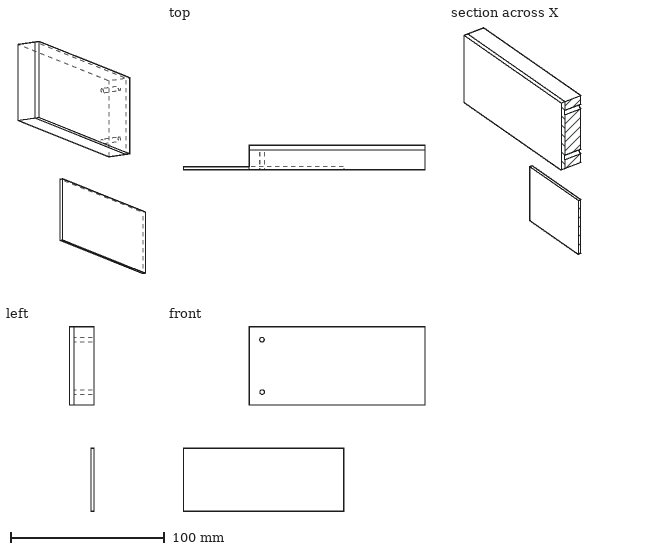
import cadquery as cq

total_width = 157.26
total_depth = 16.0
total_height = 120.05

case_width = 114.45
case_height = 51.05
cover_thickness = 3.0
housing_depth = total_depth - cover_thickness

hole_diameter = 3.0
upper_hole_inset_x = 8.35
lower_hole_inset_x = 8.45
hole_inset_z = 8.5

plate_width = 104.35
plate_height = 41.05
plate_thickness = 2.0

case_left = total_width - case_width
case_bottom = total_height - case_height


def slab(left, front, bottom, width, depth, height):
    """Rectangular block placed by its lower left front corner."""
    return cq.Workplane("XY").box(width, depth, height, centered=False).translate((left, front, bottom))


def make_housing():
    """Front block with round holes that run back to the cover."""
    body = slab(case_left, 0, case_bottom, case_width, housing_depth, case_height)
    hole_centers = [
        (case_left + upper_hole_inset_x, total_height - hole_inset_z),
        (case_left + lower_hole_inset_x, case_bottom + hole_inset_z),
    ]
    holes = cq.Workplane("XZ").pushPoints(hole_centers).circle(hole_diameter / 2).extrude(-housing_depth)
    return body.cut(holes)


def make_cover():
    """Flat cover closing the back of the housing."""
    return slab(case_left, housing_depth, case_bottom, case_width, cover_thickness, case_height)


def make_plate():
    """Thin rectangular plate, flush with the housing's front face."""
    return slab(0, 0, 0, plate_width, plate_thickness, plate_height)


housing = make_housing()
cover = make_cover()
plate = make_plate()

result = cq.Compound.makeCompound([housing.val(), cover.val(), plate.val()])